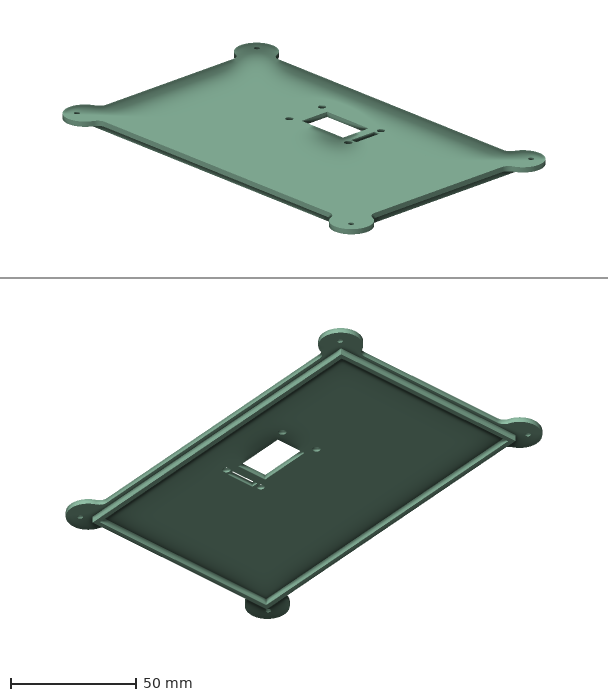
import cadquery as cq

length = 172.7
width = 112.0
height = 5.2

plate_thickness = 2.2
plate_half_x = 77.9
plate_half_y = 47.7
ear_radius = 9.0
ear_x = length / 2 - ear_radius
ear_y = width / 2 - ear_radius
blend_radius = 4.0
ear_hole_diameter = 2.5
ear_hole_x = 79.6
ear_hole_y = 49.4

rim_length = 152.3
rim_width = 91.5
rim_wall = 2.0
rim_depth = height - plate_thickness

display_y = 17.1
window_length = 24.0
window_width = 14.0
mount_hole_diameter = 3.3
mount_spacing_x = 34.2
mount_spacing_y = 18.0
slot_x = 17.6
slot_length = 12.8
slot_width = 3.0


def mirrored_points(x, y):
    """The four points at (+-x, +-y)."""
    return [(sx * x, sy * y) for sx in (-1, 1) for sy in (-1, 1)]


def make_plate():
    plate = cq.Workplane("XY").rect(2 * plate_half_x, 2 * plate_half_y).extrude(plate_thickness)
    ears = cq.Workplane("XY").pushPoints(mirrored_points(ear_x, ear_y)).circle(ear_radius)
    plate = plate.union(ears.extrude(plate_thickness))
    return plate.faces("%PLANE and #Z").edges("|Z").fillet(blend_radius)


def make_rim():
    outline = cq.Workplane("XY").rect(rim_length, rim_width)
    return outline.rect(rim_length - 2 * rim_wall, rim_width - 2 * rim_wall).extrude(-rim_depth)


def ear_holes():
    points = mirrored_points(ear_hole_x, ear_hole_y)
    return cq.Workplane("XY").pushPoints(points).circle(ear_hole_diameter / 2).extrude(plate_thickness)


def display_window():
    return cq.Workplane("XY").center(0, display_y).rect(window_length, window_width).extrude(plate_thickness)


def mount_holes():
    points = mirrored_points(mount_spacing_x / 2, mount_spacing_y / 2)
    base = cq.Workplane("XY").center(0, display_y)
    return base.pushPoints(points).circle(mount_hole_diameter / 2).extrude(plate_thickness)


def connector_slot():
    return cq.Workplane("XY").center(slot_x, display_y).rect(slot_width, slot_length).extrude(plate_thickness)


result = make_plate().union(make_rim())
for opening in (ear_holes(), display_window(), mount_holes(), connector_slot()):
    result = result.cut(opening)